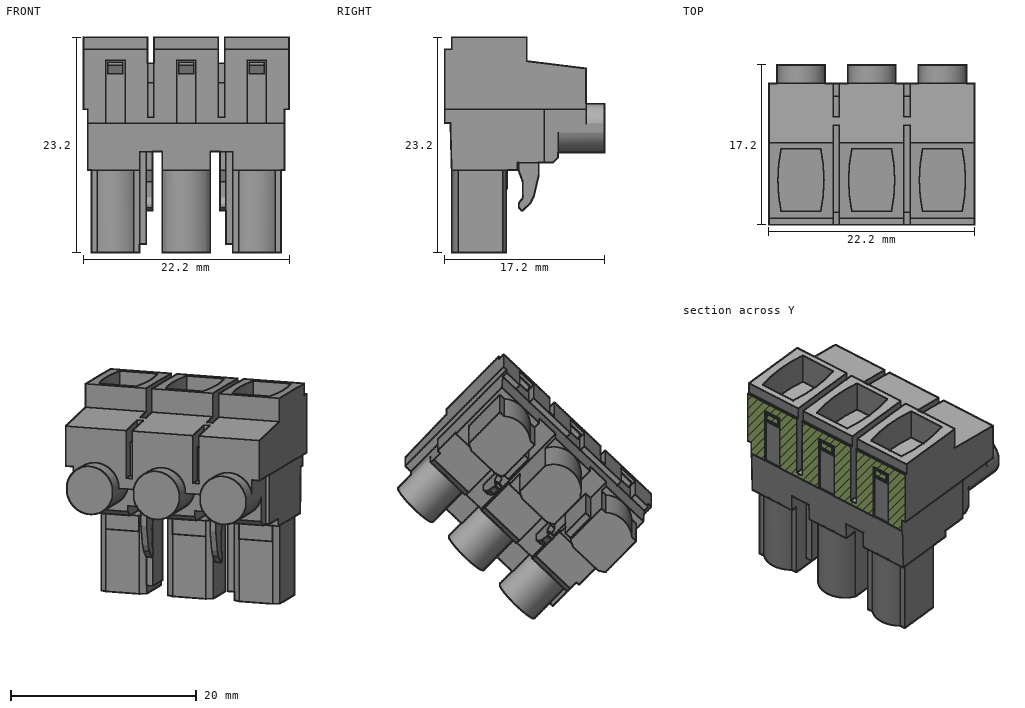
import cadquery as cq
import math


POLES = 3
PITCH = 7.63
OVERALL_WIDTH = 22.18
POLE_GAP = 0.67
pole_centres = [(i - (POLES - 1) / 2) * PITCH for i in range(POLES)]
gap_centres = [(i - (POLES - 2) / 2) * PITCH for i in range(POLES - 1)]

TOP = 23.25
FACE_Y = 0.75
LEDGE_Z = 21.95
TOWER_REAR = 8.85
ROOF_FRONT_Z = 20.67
ROOF_REAR_Z = 19.88
BLOCK_REAR = 15.25
SHOULDER_Z = 15.45
LIP_BOTTOM = 13.97

LOWER_FRONT_TOP = 0.6
SIDE_STEP = 0.46
LOWER_WIDTH = OVERALL_WIDTH - 2 * SIDE_STEP
LOWER_BOTTOM = 8.9
RAISED_BOTTOM = 9.72
RAISED_FRONT = 7.85
LOWER_REAR = 10.72
TAIL_REAR = 12.23
TAIL_CHAMFER = 0.55

BRIDGE_FRONT = 10.75
BRIDGE_REAR = 11.67
GAP_FLOOR = 18.35
GAP_END_FLOOR = 14.62
GAP_FRONT_STEP = 1.35
GAP_REAR_STEP = 13.88

BARREL_WIDTH = 5.2
BARREL_DIAMETER = 5.3
BARREL_Z = 13.45
BARREL_REAR = 17.25
TAIL_WIDTH = (POLES - 1) * PITCH + BARREL_WIDTH

OPENING_FRONT = 1.46
OPENING_REAR = 8.2
OPENING_END_WIDTH = 4.28
OPENING_WAIST_WIDTH = 4.98
OPENING_DEPTH = 3.58
CLAMP_TOP = TOP - OPENING_DEPTH
CLAMP_BOTTOM = SHOULDER_Z

GROOVE_WIDTH = 2.07
GROOVE_TOP = 20.76
CATCH_WIDTH = 1.6
CATCH_TOP = 20.55
CATCH_FACE_BOTTOM = 20.2
CATCH_BOTTOM = 19.27
CATCH_REACH = 0.42

PLUG_WIDTH = BARREL_WIDTH
PLUG_REAR = 6.65
PLUG_REAR_CHAMFER = 0.4
PLUG_REAR_CHAMFER_WIDTH = 0.7
PLUG_RADIUS = 3.02
OUTER_NOSE_WIDTH = 3.9
MIDDLE_NOSE_WIDTH = 4.37
MIDDLE_CORNER_Y = 2.28
HEEL_THICKNESS = 0.1
HEEL_BOTTOM = 6.9

NOTCH_TOP = 10.9
NOTCH_WIDTH = PITCH - PLUG_WIDTH
KEY_WIDTH = 0.75
KEY_FRONT = 3.16
KEY_REAR = 6.28
KEY_BOTTOM = 0.93
HOOK_WIDTH = 0.65
HOOK_ROOT_FRONT = 7.95
HOOK_ROOT_REAR = 10.15
HOOK_NECK_FRONT = 8.42
HOOK_BOTTOM = 4.53


def box(x_middle, width, y_range, z_range):
    """Box centred on x_middle that spans the given Y and Z ranges."""
    depth = y_range[1] - y_range[0]
    height = z_range[1] - z_range[0]
    corner = (x_middle - width / 2, y_range[0], z_range[0])
    return cq.Workplane("XY").box(width, depth, height, centered=False).translate(corner)


def side_profile(points, width, x_middle=0):
    """Prism with a (Y, Z) outline, centred on x_middle."""
    prism = cq.Workplane("YZ").polyline(points).close().extrude(width / 2, both=True)
    return prism.translate((x_middle, 0, 0))


def upper_block():
    outline = [
        (0, SHOULDER_Z),
        (0, LEDGE_Z),
        (FACE_Y, LEDGE_Z),
        (FACE_Y, TOP),
        (TOWER_REAR, TOP),
        (TOWER_REAR, ROOF_FRONT_Z),
        (BLOCK_REAR, ROOF_REAR_Z),
        (BLOCK_REAR, SHOULDER_Z),
    ]
    return side_profile(outline, OVERALL_WIDTH)


def lower_block():
    front_outline = [
        (0, SHOULDER_Z),
        (0, LIP_BOTTOM),
        (LOWER_FRONT_TOP, LIP_BOTTOM),
        (FACE_Y, LOWER_BOTTOM),
        (RAISED_FRONT, LOWER_BOTTOM),
        (RAISED_FRONT, RAISED_BOTTOM),
        (LOWER_REAR, RAISED_BOTTOM),
        (LOWER_REAR, SHOULDER_Z),
    ]
    tail_outline = [
        (LOWER_REAR, SHOULDER_Z),
        (LOWER_REAR, RAISED_BOTTOM),
        (TAIL_REAR - TAIL_CHAMFER, RAISED_BOTTOM),
        (TAIL_REAR, RAISED_BOTTOM + TAIL_CHAMFER),
        (TAIL_REAR, BARREL_Z),
        (BLOCK_REAR, BARREL_Z),
        (BLOCK_REAR, SHOULDER_Z),
    ]
    return side_profile(front_outline, LOWER_WIDTH).union(side_profile(tail_outline, TAIL_WIDTH))


def pole_slots(x):
    """Front and rear slots beside the bridge, each deeper at its open end."""
    slots = box(x, POLE_GAP, (0, BRIDGE_FRONT), (GAP_FLOOR, TOP))
    slots = slots.union(box(x, POLE_GAP, (0, GAP_FRONT_STEP), (GAP_END_FLOOR, TOP)))
    slots = slots.union(box(x, POLE_GAP, (BRIDGE_REAR, BLOCK_REAR), (GAP_FLOOR, TOP)))
    return slots.union(box(x, POLE_GAP, (GAP_REAR_STEP, BLOCK_REAR), (GAP_END_FLOOR, TOP)))


def barrel(x):
    """Round barrel with flat sides, running rearwards out of the block."""
    cylinder = (
        cq.Workplane("XZ", origin=(x, BARREL_REAR, BARREL_Z))
        .circle(BARREL_DIAMETER / 2)
        .extrude(BARREL_REAR - LOWER_REAR)
    )
    z_range = (BARREL_Z - BARREL_DIAMETER / 2, BARREL_Z + BARREL_DIAMETER / 2)
    return cylinder.intersect(box(x, BARREL_WIDTH, (LOWER_REAR, BARREL_REAR), z_range))


def opening_prism(x, bottom, top):
    """Prism of the wire opening's outline: straight ends and bowed sides."""
    end = OPENING_END_WIDTH / 2
    waist = OPENING_WAIST_WIDTH / 2
    middle_y = (OPENING_FRONT + OPENING_REAR) / 2
    return (
        cq.Workplane("XY", origin=(x, 0, bottom))
        .moveTo(-end, OPENING_FRONT)
        .lineTo(end, OPENING_FRONT)
        .threePointArc((waist, middle_y), (end, OPENING_REAR))
        .lineTo(-end, OPENING_REAR)
        .threePointArc((-waist, middle_y), (-end, OPENING_FRONT))
        .close()
        .extrude(top - bottom)
    )


def catch(x):
    """Catch on the groove floor, with a ramp under its face."""
    outline = [
        (FACE_Y, CATCH_TOP),
        (FACE_Y - CATCH_REACH, CATCH_TOP),
        (FACE_Y - CATCH_REACH, CATCH_FACE_BOTTOM),
        (FACE_Y, CATCH_BOTTOM),
    ]
    return side_profile(outline, CATCH_WIDTH, x)


def plug(x, nose_width, chamfered):
    """Plug with a rounded nose; the flats beside it are square or swept back as chamfers."""
    side = PLUG_WIDTH / 2
    nose = nose_width / 2
    nose_centre_y = FACE_Y + PLUG_RADIUS
    nose_y = nose_centre_y - math.sqrt(PLUG_RADIUS**2 - nose**2)
    corner_y = MIDDLE_CORNER_Y if chamfered else nose_y
    body = (
        cq.Workplane("XY", origin=(x, 0, 0))
        .moveTo(-nose, nose_y)
        .threePointArc((0, FACE_Y), (nose, nose_y))
        .lineTo(side, corner_y)
        .lineTo(side, PLUG_REAR - PLUG_REAR_CHAMFER)
        .lineTo(side - PLUG_REAR_CHAMFER_WIDTH, PLUG_REAR)
        .lineTo(PLUG_REAR_CHAMFER_WIDTH - side, PLUG_REAR)
        .lineTo(-side, PLUG_REAR - PLUG_REAR_CHAMFER)
        .lineTo(-side, corner_y)
        .close()
        .extrude(LOWER_BOTTOM)
    )
    heel_width = PLUG_WIDTH - 2 * PLUG_REAR_CHAMFER_WIDTH
    heel = box(x, heel_width, (PLUG_REAR, PLUG_REAR + HEEL_THICKNESS), (HEEL_BOTTOM, LOWER_BOTTOM))
    return body.union(heel)


def key(x):
    """Key along the side of a plug."""
    return box(x, KEY_WIDTH, (KEY_FRONT, KEY_REAR), (KEY_BOTTOM, NOTCH_TOP))


def hook(x):
    """Latching hook that curves forward to a blunt tip."""
    return (
        cq.Workplane("YZ", origin=(x - HOOK_WIDTH / 2, 0, 0))
        .moveTo(HOOK_ROOT_FRONT, NOTCH_TOP)
        .lineTo(HOOK_ROOT_REAR, NOTCH_TOP)
        .lineTo(HOOK_ROOT_REAR, 8.37)
        .lineTo(9.63, 6.1)
        .lineTo(9.28, 5.37)
        .lineTo(8.42, HOOK_BOTTOM)
        .lineTo(8.28, HOOK_BOTTOM)
        .lineTo(8.02, 4.84)
        .threePointArc((7.97, 5.2), (8.11, 5.53))
        .lineTo(8.3, 5.75)
        .threePointArc((8.4, 5.9), (HOOK_NECK_FRONT, 6.14))
        .lineTo(HOOK_NECK_FRONT, 7.63)
        .lineTo(HOOK_ROOT_FRONT, LOWER_BOTTOM)
        .close()
        .extrude(HOOK_WIDTH)
    )


def make_housing():
    body = upper_block().union(lower_block())
    for x in gap_centres:
        body = body.cut(pole_slots(x))
        body = body.cut(box(x, NOTCH_WIDTH, (0, BLOCK_REAR), (0, NOTCH_TOP)))
    for x in pole_centres:
        body = body.union(barrel(x))
        body = body.cut(opening_prism(x, CLAMP_BOTTOM, TOP))
        body = body.cut(box(x, GROOVE_WIDTH, (0, FACE_Y), (LIP_BOTTOM, GROOVE_TOP)))
        body = body.union(catch(x))
        is_middle = x == 0
        nose_width = MIDDLE_NOSE_WIDTH if is_middle else OUTER_NOSE_WIDTH
        body = body.union(plug(x, nose_width, is_middle))
    for x in gap_centres:
        outward = math.copysign(1, x)
        key_x = x + outward * (NOTCH_WIDTH - KEY_WIDTH) / 2
        hook_x = key_x - outward * (KEY_WIDTH + HOOK_WIDTH) / 2
        body = body.union(key(key_x)).union(hook(hook_x))
    return body


def make_clamp(x):
    """Clamp block that fills the lower part of one wire opening."""
    return opening_prism(x, CLAMP_BOTTOM, CLAMP_TOP)


housing = make_housing()
clamps = [make_clamp(x) for x in pole_centres]

result = cq.Compound.makeCompound([housing.val(), *[clamp.val() for clamp in clamps]])